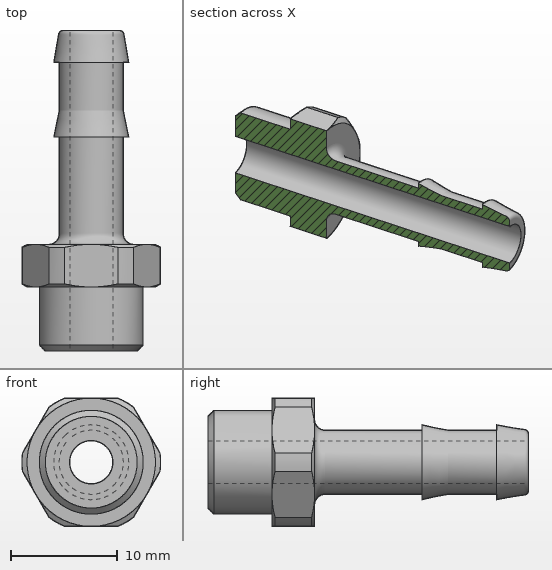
import cadquery as cq
import math

length = 30.0
thread_radius = 4.85
thread_length = 6.0
thread_chamfer = 0.57
bore_radius = 2.0

hex_across_flats = 12.0
hex_corner_radius = 13.0 / 2
hex_length = 4.0
hex_chamfer_angle = 30.0

tube_radius = 3.0
neck_fillet = 1.0
barb_radius = 3.5
rear_barb_start = 20.0
rear_barb_length = 2.5
tip_barb_length = 3.0
tip_rounding = 0.48

hex_end = thread_length + hex_length


def revolve_about_y(profile):
    return profile.close().revolve(360, (0, 0, 0), (0, 1, 0))


def threaded_end():
    return revolve_about_y(
        cq.Workplane("XY")
        .lineTo(thread_radius - thread_chamfer, 0)
        .lineTo(thread_radius, thread_chamfer)
        .lineTo(thread_radius, thread_length)
        .lineTo(0, thread_length)
    )


def hexagon():
    """Hexagon with flats facing +/-Z, corners turned down and chamfered at both faces."""
    corner_diameter = hex_across_flats / math.cos(math.pi / 6)
    prism = (
        cq.Workplane("XZ", origin=(0, thread_length, 0))
        .polygon(6, corner_diameter)
        .extrude(-hex_length)
    )
    face_radius = hex_across_flats / 2
    chamfer_depth = (hex_corner_radius - face_radius) * math.tan(math.radians(hex_chamfer_angle))
    envelope = revolve_about_y(
        cq.Workplane("XY")
        .moveTo(0, thread_length)
        .lineTo(face_radius, thread_length)
        .lineTo(hex_corner_radius, thread_length + chamfer_depth)
        .lineTo(hex_corner_radius, hex_end - chamfer_depth)
        .lineTo(face_radius, hex_end)
        .lineTo(0, hex_end)
    )
    return prism.intersect(envelope)


def barbed_tube():
    """Hose tail with a filleted neck, two conical barbs and a rounded tip."""
    mid_arc = neck_fillet * (1 - math.sqrt(0.5))
    tip_barb_start = length - tip_barb_length
    return revolve_about_y(
        cq.Workplane("XY")
        .moveTo(0, hex_end)
        .lineTo(tube_radius + neck_fillet, hex_end)
        .threePointArc(
            (tube_radius + mid_arc, hex_end + mid_arc),
            (tube_radius, hex_end + neck_fillet),
        )
        .lineTo(tube_radius, rear_barb_start)
        .lineTo(barb_radius, rear_barb_start)
        .lineTo(tube_radius, rear_barb_start + rear_barb_length)
        .lineTo(tube_radius, tip_barb_start)
        .lineTo(barb_radius, tip_barb_start)
        .lineTo(tube_radius, length)
        .lineTo(0, length)
    ).faces(">Y").edges().fillet(tip_rounding)


bore = cq.Workplane("XZ").circle(bore_radius).extrude(-length)

result = threaded_end().union(hexagon()).union(barbed_tube()).cut(bore)